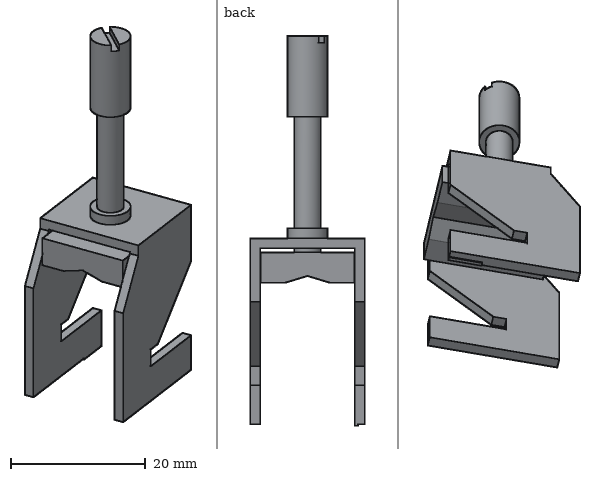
import cadquery as cq
import math


bracket_width = 17.0
wall = 1.5
bracket_back = 9.1
bracket_front = -10.5
top_front = -6.1
bracket_height = 27.6
front_edge_drop = 1.75
front_slope_angle = 60.0
back_edge_drop = 9.4
hook_slot_top = 19.0
hook_slot_height = 2.8
hook_slot_end = -2.5

strip_width = 0.5
strip_length = 5.0
strip_height = 0.2

block_width = 13.9
block_back = 10.0
block_front = -8.0
block_drop = 2.1
block_height = 4.5
groove_width = 6.6
groove_depth = 1.0

screw_height = 30.0
head_diameter = 6.0
head_length = 12.0
shank_diameter = 4.0
collar_diameter = 6.0
collar_height = 1.5
drive_slot_width = 1.2
drive_slot_depth = 1.0
drive_slot_angle = -45.0


def make_bracket():
    """Side profile across the full width, hollowed to leave the roof and two walls."""
    slope_height = (top_front - bracket_front) * math.tan(math.radians(front_slope_angle))
    back_slope_end = bracket_back - (hook_slot_top - back_edge_drop)
    hook_slot_bottom = hook_slot_top + hook_slot_height
    profile = [
        (bracket_back, 0),
        (top_front, 0),
        (top_front, -front_edge_drop),
        (bracket_front, -front_edge_drop - slope_height),
        (bracket_front, -bracket_height),
        (bracket_back, -bracket_height),
        (bracket_back, -hook_slot_bottom),
        (hook_slot_end, -hook_slot_bottom),
        (hook_slot_end, -hook_slot_top),
        (back_slope_end, -hook_slot_top),
        (bracket_back, -back_edge_drop),
    ]
    body = cq.Workplane("YZ").polyline(profile).close().extrude(bracket_width / 2, both=True)
    channel = cq.Workplane("XY", origin=(0, 0, -wall)).rect(
        bracket_width - 2 * wall, 4 * bracket_back
    ).extrude(-bracket_height)
    return body.cut(channel)


def make_strip():
    """Thin strip along the inner lower edge of the left wall, starting at the back."""
    inner_face = -bracket_width / 2 + wall
    return cq.Workplane("XY").box(
        strip_width, strip_length, strip_height, centered=False
    ).translate((
        inner_face - strip_width,
        bracket_back - strip_length,
        -bracket_height - strip_height,
    ))


def make_block():
    """Clamping block with a shallow V groove along its underside."""
    block_bottom = -block_drop - block_height
    outline = [
        (-block_width / 2, -block_drop),
        (block_width / 2, -block_drop),
        (block_width / 2, block_bottom),
        (groove_width / 2, block_bottom),
        (0, block_bottom + groove_depth),
        (-groove_width / 2, block_bottom),
        (-block_width / 2, block_bottom),
    ]
    return (
        cq.Workplane("XZ", origin=(0, block_back, 0))
        .polyline(outline)
        .close()
        .extrude(block_back - block_front)
    )


def cylinder(diameter, bottom, top):
    return cq.Workplane("XY", origin=(0, 0, bottom)).circle(diameter / 2).extrude(top - bottom)


def make_screw():
    """Slotted screw with a collar on the bracket, its shank reaching the block."""
    head_bottom = screw_height - head_length
    drive_slot = (
        cq.Workplane("XY", origin=(0, 0, screw_height))
        .transformed(rotate=(0, 0, drive_slot_angle))
        .rect(2 * head_diameter, drive_slot_width)
        .extrude(-drive_slot_depth)
    )
    head = cylinder(head_diameter, head_bottom, screw_height).cut(drive_slot)
    shank = cylinder(shank_diameter, -block_drop, head_bottom)
    collar = cylinder(collar_diameter, 0, collar_height)
    return head.union(shank).union(collar)


result = make_bracket().union(make_strip()).union(make_screw()).union(make_block())